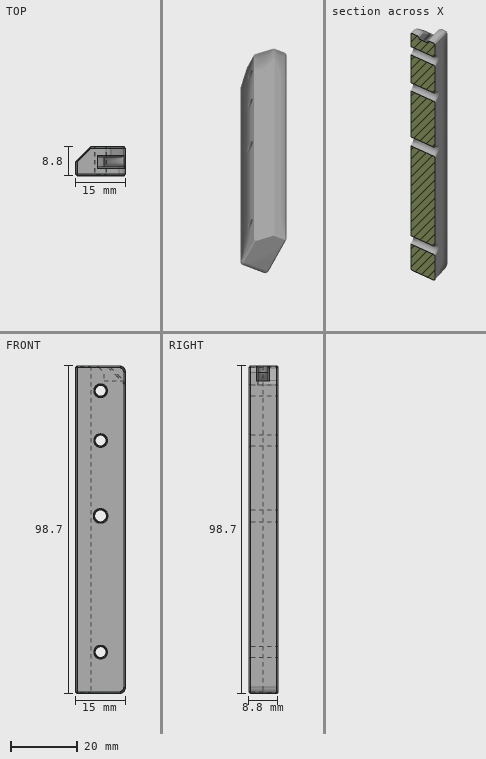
import cadquery as cq

WIDTH = 15.0
DEPTH = 8.8
LENGTH = 98.7
RIGHT = WIDTH / 2
BACK = DEPTH / 2
TOP = LENGTH / 2

EDGE_CHAMFER = 0.5
CORNER_RADIUS = 2.0
SLOPE_SIZE = 5.0
BEVEL = 4.6
BEVEL_CHAMFER = 0.3
OVERCUT = 1.0

SLOT_WIDTH = 3.0
SLOT_FRONT = -1.7
SLOT_BACK = SLOT_FRONT + SLOT_WIDTH
SLOT_START_X = -1.0
SLOT_RAMP = 2.0
SLOT_DEPTH = 4.5
SLOT_FLOOR = TOP - SLOT_DEPTH

HOLES = [(41.85, 3.3), (26.85, 3.3), (4.15, 3.6), (-36.85, 3.3)]
HOLE_CHAMFER = 0.4


def make_slab(front, back):
    """Plain full-length slab between two Y positions."""
    return cq.Workplane("XY").box(WIDTH, back - front, LENGTH).translate((0, (front + back) / 2, 0))


def make_front_slab(front, back):
    """Slab with both right-hand corners rounded."""
    return make_slab(front, back).edges(">X and |Y").fillet(CORNER_RADIUS)


def make_back_slab(front, back):
    """Slab with a sloped top right corner; every right-hand corner is rounded."""
    sloped = make_slab(front, back).edges(">X and >Z").chamfer(SLOPE_SIZE)
    return sloped.edges("|Y").edges("not <X").fillet(CORNER_RADIUS)


def make_body():
    """Front and back slabs joined, with the long bevel and chamfered outside edges."""
    body = make_front_slab(-BACK, SLOT_FRONT).union(make_back_slab(SLOT_FRONT, BACK))
    body = body.edges("<X and >Y").chamfer(BEVEL)
    rim = body.faces("<Y").edges()
    rim = rim.add(body.faces(">Y").edges("not <X"))
    rim = rim.add(body.faces("<X").edges("|Y"))
    body = rim.chamfer(EDGE_CHAMFER)
    bevel_direction = cq.Vector(-1, 1, 0)
    bevel_face = body.faces(cq.selectors.DirectionMinMaxSelector(bevel_direction))
    return bevel_face.edges("<Z or >Z").chamfer(BEVEL_CHAMFER)


def make_slot():
    """Slot open at the top and right, with a 45 degree ramp at its left end."""
    ramp_end_x = SLOT_START_X + SLOT_RAMP
    outline = [
        (SLOT_START_X, TOP),
        (ramp_end_x, TOP - SLOT_RAMP),
        (ramp_end_x, SLOT_FLOOR),
        (RIGHT + OVERCUT, SLOT_FLOOR),
        (RIGHT + OVERCUT, TOP + OVERCUT),
        (SLOT_START_X, TOP + OVERCUT),
    ]
    return cq.Workplane("XZ", origin=(0, SLOT_BACK, 0)).polyline(outline).close().extrude(SLOT_WIDTH)


def make_lip_cut(wall, slot_side):
    """Chamfer material along the rim of a slot wall, kept only beside the slot."""
    rim = wall.cut(wall.faces(slot_side).edges().chamfer(EDGE_CHAMFER))
    beside_slot = cq.Workplane("XY").box(
        RIGHT - SLOT_START_X, DEPTH, SLOT_DEPTH, centered=(False, True, False)
    ).translate((SLOT_START_X, 0, SLOT_FLOOR))
    return rim.intersect(beside_slot)


def make_hole(height, diameter):
    """Through hole with a chamfered mouth on the front face."""
    radius = diameter / 2
    front = cq.Workplane("XZ", origin=(0, -BACK, height))
    drill = front.circle(radius).extrude(-DEPTH)
    mouth = front.circle(radius + HOLE_CHAMFER).workplane(offset=-HOLE_CHAMFER).circle(radius).loft()
    return drill.union(mouth)


result = make_body().cut(make_slot())
result = result.cut(make_lip_cut(make_front_slab(-BACK, SLOT_FRONT), ">Y"))
result = result.cut(make_lip_cut(make_back_slab(SLOT_BACK, BACK), "<Y"))
for hole_height, hole_diameter in HOLES:
    result = result.cut(make_hole(hole_height, hole_diameter))